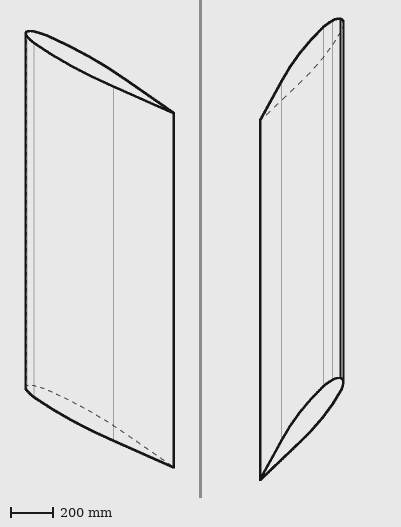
import cadquery as cq
import math

SPAN = 2000.0
CHORD = 1000.0
THICKNESS = 118.0

NOSE_END = 30.0
SHOULDER_END = 98.0
FLANK_END = 632.0

ROOT_TERM = 1.4845
POLYNOMIAL_TERMS = (-0.63, -1.758, 1.4215, -0.5075)


def surface_point(distance, side):
    """Point on the upper (side 1) or lower (side -1) surface."""
    fraction = distance / CHORD
    shape = ROOT_TERM * math.sqrt(fraction)
    for power, term in enumerate(POLYNOMIAL_TERMS, start=1):
        shape += term * fraction**power
    return (distance - CHORD / 2, side * THICKNESS * shape)


def side_arc(start, end, side):
    """Arc following the surface, steered by a point halfway in root distance."""
    middle = ((math.sqrt(start) + math.sqrt(end)) / 2) ** 2
    points = [surface_point(distance, side) for distance in (start, middle, end)]
    return cq.Edge.makeThreePointArc(*[cq.Vector(*point) for point in points])


def side_edges(side):
    """Three arcs from the leading edge, then a straight run to the trailing edge."""
    joints = (0, NOSE_END, SHOULDER_END, FLANK_END)
    edges = [side_arc(start, end, side) for start, end in zip(joints, joints[1:])]
    tail_start = cq.Vector(*surface_point(FLANK_END, side))
    tail_end = cq.Vector(*surface_point(CHORD, side))
    return edges + [cq.Edge.makeLine(tail_start, tail_end)]


trailing_corners = [cq.Vector(*surface_point(CHORD, side)) for side in (1, -1)]
trailing_edge = cq.Edge.makeLine(*trailing_corners)
outline = cq.Wire.assembleEdges(side_edges(-1)[::-1] + side_edges(1) + [trailing_edge])

blade = cq.Solid.extrudeLinear(outline, [], cq.Vector(0, 0, SPAN))
result = cq.Workplane("XY").add(blade.translate(cq.Vector(0, 0, -SPAN / 2)))